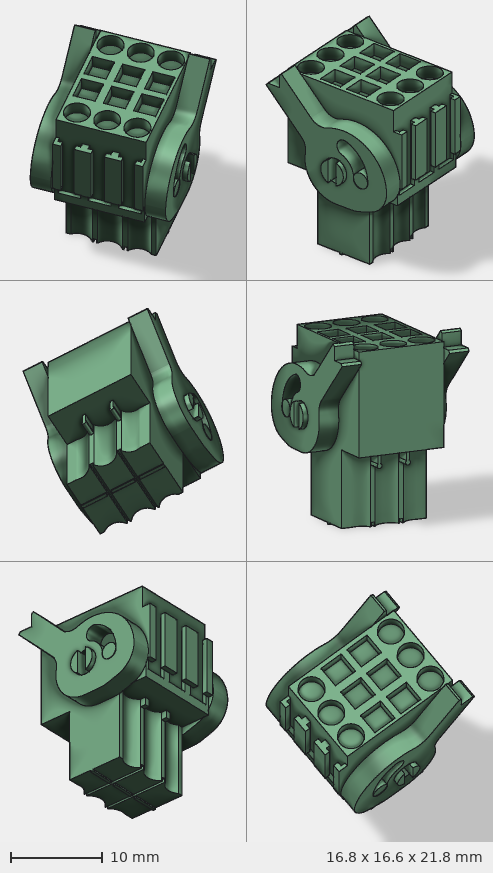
import cadquery as cq
import math


width = 10.4
head_back = 8.55
head_front = -5.97
head_top = 8.55
head_bottom = -3.3
head_mid_y = (head_back + head_front) / 2
pitch = 3.49
columns = [-pitch, 0, pitch]

rib_front = -7.1
rib_top = 5.86
rib_bottom = -1.0
ledge_front = -6.5
slot_floor = -2.14
slot_width = 2.62
slot_mouth = 1.53

cavity_depth = 1.5
cavity_shift = 0.076
round_diameter = 2.92
round_offset = 5.47
square_size_x = 2.55
square_size_y = 2.77
square_offset = 1.79

plug_bottom = -12.08
plug_front = -2.7
plug_back = 4.45
post_width = 0.6
post_front = -3.03
post_back = 5.15
posts = [-pitch / 2, pitch / 2]
scallop_radius = 1.75
scallop_inset = 0.98
notch_width = 0.35
notch_height = 0.48
foot_width = 0.37
foot_height = 0.2

front_lug_front = -3.7
front_lug_bottom = -4.25
back_lug_back = 6.75
back_lug_bottom = -5.25
back_lug_web = 0.37
back_lug_bead = 0.59

pivot_radius = 1.55
pivot_span = 16.8
driver_slot_width = 1.11
driver_slot_depth = 1.96
guide_radius = 0.98
guide_orbit = 3.49
guide_end = 7.87

lever_inner = 5.4
lever_thickness = 2.4
hub_radius = 4.19
cam_center_y = -1.13
cam_center_z = -0.48
cam_radius = 5.9
underside_points = [(-6.43, -2.27), (-5.36, -3.25), (-3.66, -3.85)]
track_sweep = 70
arm_angle = 45
arm_width = 2.99
arm_tip = 9.53
arm_notch = 7.72
arm_notch_edge = 9.29
root_radius = 2.0


def centered_box(x, x_size, y_range, z_range):
    """Box centred on x, with limits along Y and Z."""
    y_size = y_range[1] - y_range[0]
    z_size = z_range[1] - z_range[0]
    corner = (x - x_size / 2, y_range[0], z_range[0])
    return cq.Workplane("XY").box(x_size, y_size, z_size, centered=False).translate(corner)


def make_head():
    """Head block with the ledge and T-ribs on its front face."""
    head = centered_box(0, width, (head_front, head_back), (head_bottom, head_top))
    ledge = centered_box(0, width, (ledge_front, head_front), (head_bottom, rib_bottom))
    ribs = centered_box(0, width, (rib_front, head_front), (rib_bottom, rib_top))
    head = head.union(ledge).union(ribs)
    for x in columns:
        inner_slot = centered_box(x, slot_width, (ledge_front, head_front), (slot_floor, rib_top))
        mouth = centered_box(x, slot_mouth, (rib_front, ledge_front), (rib_bottom, rib_top))
        head = head.cut(inner_slot).cut(mouth)
    return head


def cut_cavities(head):
    """Two rows of round and two rows of square blind cavities in the top face."""
    top = cq.Workplane("XY", origin=(cavity_shift, head_mid_y, head_top))
    round_points = [(x, side * round_offset) for x in columns for side in (-1, 1)]
    square_points = [(x, side * square_offset) for x in columns for side in (-1, 1)]
    rounds = top.pushPoints(round_points).circle(round_diameter / 2).extrude(-cavity_depth)
    squares = top.pushPoints(square_points).rect(square_size_x, square_size_y).extrude(-cavity_depth)
    return head.cut(rounds).cut(squares)


def make_plug():
    """Plug with posts, scalloped front and back faces, post notches and a ridge underneath."""
    z_range = (plug_bottom, head_bottom)
    plug = centered_box(0, width, (plug_front, plug_back), z_range)
    plug = plug.union(centered_box(0, columns[-1] - columns[0], (post_front, post_back), z_range))

    foot_range = (head_mid_y - foot_width / 2, head_mid_y + foot_width / 2)
    plug = plug.union(centered_box(0, width, foot_range, (plug_bottom - foot_height, plug_bottom)))
    for x in posts:
        notch_range = (plug_bottom, plug_bottom + notch_height)
        notch = centered_box(x, notch_width, (post_front, post_back), notch_range)
        foot_gap = centered_box(x, post_width, foot_range, (plug_bottom - foot_height, plug_bottom))
        plug = plug.cut(foot_gap).cut(notch)

    for x in columns:
        for y in (post_front - scallop_inset, post_back + scallop_inset):
            scallop = (
                cq.Workplane("XY", origin=(x, y, plug_bottom))
                .circle(scallop_radius)
                .extrude(head_bottom - plug_bottom)
            )
            plug = plug.cut(scallop)
    return plug


def make_lugs(x):
    """Plain lug in front of a post and beaded lug behind it, both hanging under the head."""
    front = centered_box(x, post_width, (front_lug_front, post_front), (front_lug_bottom, head_bottom))
    bead_z = back_lug_bottom + back_lug_bead / 2
    web = centered_box(x, back_lug_web, (post_back, back_lug_back), (bead_z, head_bottom))
    bead = (
        cq.Workplane("XZ", origin=(x, back_lug_back, bead_z))
        .circle(back_lug_bead / 2)
        .extrude(back_lug_back - post_back)
    )
    return front.union(web).union(bead)


def make_pins():
    """Pivot and guide pins on both sides, with a round-bottomed driver slot in each pivot end."""
    pivot = cq.Workplane("YZ").circle(pivot_radius).extrude(pivot_span / 2, both=True)
    guide = cq.Workplane("YZ").center(-guide_orbit, 0).circle(guide_radius).extrude(guide_end, both=True)
    slot_radius = driver_slot_width / 2
    slot_axis = pivot_span / 2 - driver_slot_depth + slot_radius
    for side in (-1, 1):
        driver_slot = (
            cq.Workplane("XY", origin=(0, 0, -pivot_radius))
            .moveTo(side * pivot_span / 2, -slot_radius)
            .lineTo(side * slot_axis, -slot_radius)
            .threePointArc((side * (slot_axis - slot_radius), 0), (side * slot_axis, slot_radius))
            .lineTo(side * pivot_span / 2, slot_radius)
            .close()
            .extrude(2 * pivot_radius)
        )
        pivot = pivot.cut(driver_slot)
    return pivot.union(guide)


def make_housing():
    """Head, plug, lugs and pins as one solid."""
    housing = cut_cavities(make_head()).union(make_plug())
    for x in posts:
        housing = housing.union(make_lugs(x))
    return housing.union(make_pins())


def polar(radius, degrees, center=(0, 0)):
    """Point in the YZ plane at an angle measured from +Y toward +Z."""
    angle = math.radians(degrees)
    return (center[0] + radius * math.cos(angle), center[1] + radius * math.sin(angle))


def make_lever_body():
    """Hub and cam plate: hub arc, free-form underside and large cam arc."""
    cam_center = (cam_center_y, cam_center_z)
    cam_end_angle = 180 + math.degrees(math.asin(cam_center_z / cam_radius))
    cam_middle_angle = (arm_angle + cam_end_angle) / 2
    cam_middle = polar(cam_radius, cam_middle_angle, cam_center)
    cam_end = polar(cam_radius, cam_end_angle, cam_center)
    cam_end_tangent = polar(1, cam_end_angle + 90)
    return (
        cq.Workplane("YZ")
        .moveTo(*polar(hub_radius, -90))
        .threePointArc(polar(hub_radius, (arm_angle - 90) / 2), polar(hub_radius, arm_angle))
        .lineTo(*polar(cam_radius, arm_angle, cam_center))
        .threePointArc(cam_middle, cam_end)
        .spline(
            [*underside_points, polar(hub_radius, -90)],
            tangents=[cam_end_tangent, (1, 0)],
            includeCurrent=True,
        )
        .close()
        .extrude(lever_thickness)
    )


def make_arm():
    """Arm rising at 45 degrees from the pivot, with a notched end."""
    edge = arm_width / math.sqrt(2)
    return (
        cq.Workplane("YZ")
        .polyline([
            (edge / 2, -edge / 2),
            (arm_tip, arm_tip - edge),
            (arm_notch_edge, arm_notch),
            (arm_notch, arm_notch),
            (arm_notch, arm_notch_edge),
            (arm_tip - edge, arm_tip),
            (-edge / 2, edge / 2),
        ])
        .close()
        .extrude(lever_thickness)
    )


def arm_root(center, radius, side):
    """Where an arm edge (side -1 lower, +1 upper) leaves a circle of the lever body."""
    along = (center[0] + center[1]) / math.sqrt(2)
    across = (center[1] - center[0]) / math.sqrt(2)
    root_across = side * arm_width / 2
    root_along = along + math.sqrt(radius ** 2 - (root_across - across) ** 2)
    return (
        lever_thickness / 2,
        (root_along - root_across) / math.sqrt(2),
        (root_along + root_across) / math.sqrt(2),
    )


def make_track():
    """Curved track for the guide pin, concentric with the pivot."""
    inner = guide_orbit - guide_radius
    outer = guide_orbit + guide_radius
    end = 180 - track_sweep
    middle = 180 - track_sweep / 2
    return (
        cq.Workplane("YZ")
        .moveTo(*polar(outer, 180))
        .threePointArc(polar(outer, middle), polar(outer, end))
        .threePointArc(polar(guide_radius, end - 90, polar(guide_orbit, end)), polar(inner, end))
        .threePointArc(polar(inner, middle), polar(inner, 180))
        .threePointArc((-guide_orbit, -guide_radius), polar(outer, 180))
        .close()
        .extrude(lever_thickness)
    )


def make_lever(inner_x):
    """Lever whose lower-X face lies at inner_x."""
    lever = make_lever_body().union(make_arm())
    upper_root = arm_root((cam_center_y, cam_center_z), cam_radius, 1)
    lower_root = arm_root((0, 0), hub_radius, -1)
    for root in (upper_root, lower_root):
        lever = lever.edges("|X").edges(cq.selectors.NearestToPointSelector(root)).fillet(root_radius)
    pivot_hole = cq.Workplane("YZ").circle(pivot_radius).extrude(lever_thickness)
    return lever.cut(pivot_hole).cut(make_track()).translate((inner_x, 0, 0))


housing = make_housing()
levers = [make_lever(x) for x in (-lever_inner - lever_thickness, lever_inner)]

result = cq.Compound.makeCompound([housing.val(), *[lever.val() for lever in levers]])